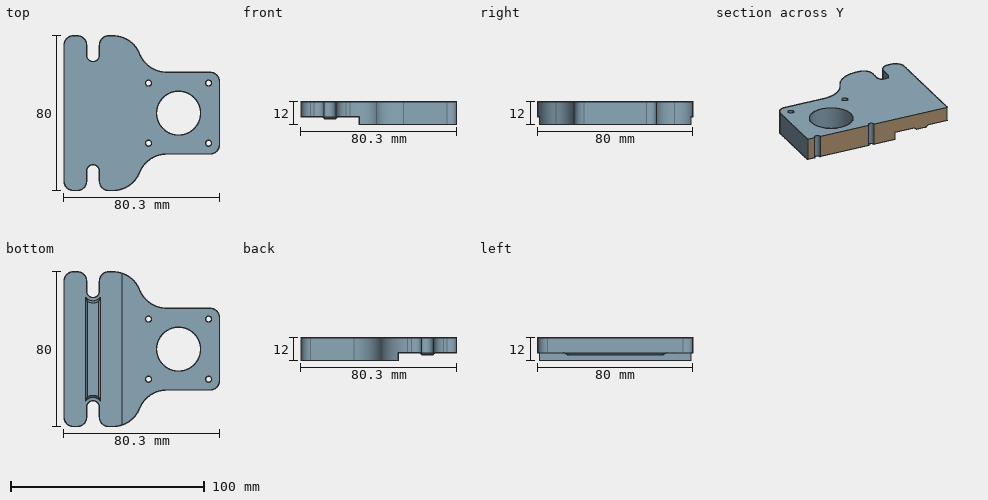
import cadquery as cq
import math

length = 80.3
width = 80.0
total_height = 12.0
thin_height = 7.9
step_x = 30.0
corner_radius = 5.0

slot_x = 15.0
slot_width = 6.4
slot_depth = 13.3

mount_width = 42.3
bore_diameter = 22.6
screw_diameter = 3.0
screw_spacing = 31.0
mount_x = length - mount_width / 2

shoulder_radius = 14.9
shoulder_start_x = 25.2

rib_width = 7.7
rib_height = 1.05
rib_inset = 1.05
rib_end_radius = 5.0

half_width = width / 2
half_mount = mount_width / 2
step_depth = total_height - thin_height
slot_radius = slot_width / 2
slot_end_y = half_width - slot_depth + slot_radius


def make_plate():
    """Full-height outline with S-shaped shoulders."""
    drop = half_width - half_mount
    run = math.sqrt(4 * shoulder_radius * drop - drop**2)
    end_x = shoulder_start_x + run
    middle = (shoulder_start_x + run / 2, half_width - drop / 2)
    upper_center_y = half_width - shoulder_radius
    lower_center_y = half_mount + shoulder_radius
    half_turn = math.atan2(drop, run)
    across = shoulder_radius * math.sin(half_turn)
    along = shoulder_radius * math.cos(half_turn)
    upper_mid = (shoulder_start_x + across, upper_center_y + along)
    lower_mid = (end_x - across, lower_center_y - along)
    half_outline = (
        cq.Workplane("XY", origin=(0, 0, -step_depth))
        .lineTo(0, half_width)
        .lineTo(shoulder_start_x, half_width)
        .threePointArc(upper_mid, middle)
        .threePointArc(lower_mid, (end_x, half_mount))
        .lineTo(length, half_mount)
        .lineTo(length, 0)
        .close()
        .extrude(total_height)
    )
    plate = half_outline.union(half_outline.mirror("XZ")).clean()
    return plate.edges("|Z and (<X or >X)").fillet(corner_radius)


def cut_step(plate):
    """Thin the plate from below on the slotted side."""
    relief = cq.Workplane("XY").box(step_x, width, step_depth, centered=(False, True, False))
    return plate.cut(relief.translate((0, 0, -step_depth)))


def cut_slots(plate):
    """Round-bottomed edge slots with rounded mouths."""
    mouth_half = slot_radius + corner_radius
    mouth_y = half_width - corner_radius
    bend = corner_radius * (1 - math.sqrt(0.5))
    slot = (
        cq.Workplane("XY")
        .moveTo(-mouth_half, half_width)
        .threePointArc((-slot_radius - bend, half_width - bend), (-slot_radius, mouth_y))
        .lineTo(-slot_radius, slot_end_y)
        .threePointArc((0, slot_end_y - slot_radius), (slot_radius, slot_end_y))
        .lineTo(slot_radius, mouth_y)
        .threePointArc((slot_radius + bend, half_width - bend), (mouth_half, half_width))
        .close()
        .extrude(thin_height)
        .translate((slot_x, 0, 0))
    )
    return plate.cut(slot).cut(slot.mirror("XZ"))


def cut_mount_holes(plate):
    """Central bore and four screw holes through the mount."""
    top = plate.faces(">Z").workplane(origin=(mount_x, 0, thin_height))
    plate = top.circle(bore_diameter / 2).cutThruAll()
    top = plate.faces(">Z").workplane(origin=(mount_x, 0, thin_height))
    return top.rect(screw_spacing, screw_spacing, forConstruction=True).vertices().hole(screw_diameter)


def make_rib():
    """Tapered rib below the thin area, its ends hollowed by cones around the slot ends."""
    rib = (
        cq.Workplane("XZ", origin=(slot_x, 0, 0))
        .moveTo(-rib_width / 2, 0)
        .lineTo(rib_width / 2, 0)
        .lineTo(rib_width / 2 - rib_inset, -rib_height)
        .lineTo(rib_inset - rib_width / 2, -rib_height)
        .close()
        .extrude(slot_end_y, both=True)
    )
    for side in (-1, 1):
        cone = (
            cq.Workplane("XY", origin=(slot_x, side * slot_end_y, 0))
            .circle(rib_end_radius)
            .workplane(offset=-rib_height)
            .circle(rib_end_radius + rib_inset)
            .loft(ruled=True)
        )
        rib = rib.cut(cone)
    return rib


plate = cut_mount_holes(cut_slots(cut_step(make_plate())))
result = plate.union(make_rib())